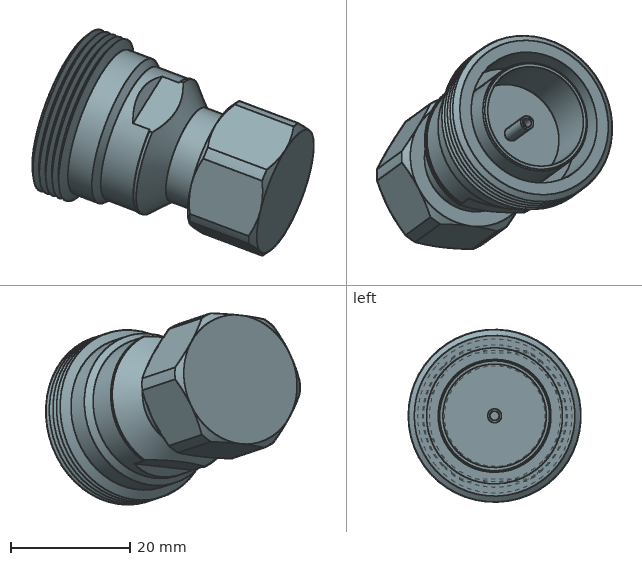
import cadquery as cq
import math

overall_length = 41.35
thread_start = 0.65
first_crest = 1.32
thread_pitch = 1.2
thread_count = 5
thread_end = 7.07
collar_end = 11.55
body_start = 12.75
rim_start = 18.77
rim_end = 19.45
neck_start = 23.15
nut_start = 28.45

outer_diameter = 29.0
crest_radius = outer_diameter / 2
root_radius = 13.5
collar_radius = 12.95
body_radius = 11.95
rim_radius = 12.1
neck_radius = 8.45
rim_edge = 0.12

socket_depth = 10.75
gap_outer_radius = 11.4
sleeve_radius = 9.45
sleeve_bore_radius = 8.7
sleeve_chamfer = 0.25
pin_tip = 3.72
pin_radius = 1.15
pin_hole_radius = 0.8
pin_hole_depth = 2.5

flat_height = 10.55
flat_start = 15.67

nut_across_flats = 22.0
nut_corner_radius = 12.15
nut_chamfer_length = 0.95


def revolve_about_x(points):
    """Turn a closed (x, radius) outline about the X axis."""
    return cq.Workplane("XY").polyline(points).close().revolve(360, (0, 0, 0), (1, 0, 0))


def x_cylinder(start, end, radius):
    """Solid cylinder on the X axis between two stations."""
    return cq.Workplane("YZ", origin=(start, 0, 0)).circle(radius).extrude(end - start)


def make_body():
    """Turned body: V-shaped thread ridges, collar, rim, cone and neck."""
    outline = [(thread_start, 0), (thread_start, root_radius)]
    for ridge in range(thread_count):
        crest = first_crest + ridge * thread_pitch
        outline.append((crest, crest_radius))
        if ridge < thread_count - 1:
            outline.append((crest + thread_pitch / 2, root_radius))
    outline += [
        (thread_end, collar_radius),
        (collar_end, collar_radius),
        (body_start, body_radius),
        (rim_start, body_radius),
        (rim_start + rim_edge, rim_radius),
        (rim_end, rim_radius),
        (neck_start, neck_radius),
        (nut_start, neck_radius),
        (nut_start, 0),
    ]
    return revolve_about_x(outline)


def make_flat_cutter():
    """Cutter for the upper flat, with a 45 degree run-out towards the thread."""
    cut_height = crest_radius - flat_height
    profile = [
        (flat_start, flat_height),
        (nut_start, flat_height),
        (nut_start, crest_radius),
        (flat_start - cut_height, crest_radius),
    ]
    return cq.Workplane("XZ").polyline(profile).close().extrude(crest_radius, both=True)


def cut_flats(body):
    """Cut matching flats above and below the axis."""
    cutter = make_flat_cutter()
    return body.cut(cutter).cut(cutter.mirror("XY"))


def make_sleeve():
    """Thin contact sleeve standing slightly proud of the threaded end."""
    return revolve_about_x([
        (0, sleeve_bore_radius),
        (0, sleeve_radius - sleeve_chamfer),
        (sleeve_chamfer, sleeve_radius),
        (socket_depth, sleeve_radius),
        (socket_depth, sleeve_bore_radius),
    ])


def make_pin():
    """Centre contact with a blind hole in its tip."""
    hole = x_cylinder(pin_tip, pin_tip + pin_hole_depth, pin_hole_radius)
    return x_cylinder(pin_tip, socket_depth, pin_radius).cut(hole)


def make_nut():
    """Hexagonal nut with flats facing up and down, chamfered at both ends."""
    flat_radius = nut_across_flats / 2
    hexagon = (
        cq.Workplane("YZ", origin=(nut_start, 0, 0))
        .polygon(6, nut_across_flats / math.cos(math.pi / 6))
        .extrude(overall_length - nut_start)
    )
    turned_envelope = revolve_about_x([
        (nut_start, 0),
        (nut_start, flat_radius),
        (nut_start + nut_chamfer_length, nut_corner_radius),
        (overall_length - nut_chamfer_length, nut_corner_radius),
        (overall_length, flat_radius),
        (overall_length, 0),
    ])
    return hexagon.intersect(turned_envelope)


body = cut_flats(make_body()).cut(x_cylinder(0, socket_depth, gap_outer_radius))
result = body.union(make_sleeve()).union(make_pin()).union(make_nut())